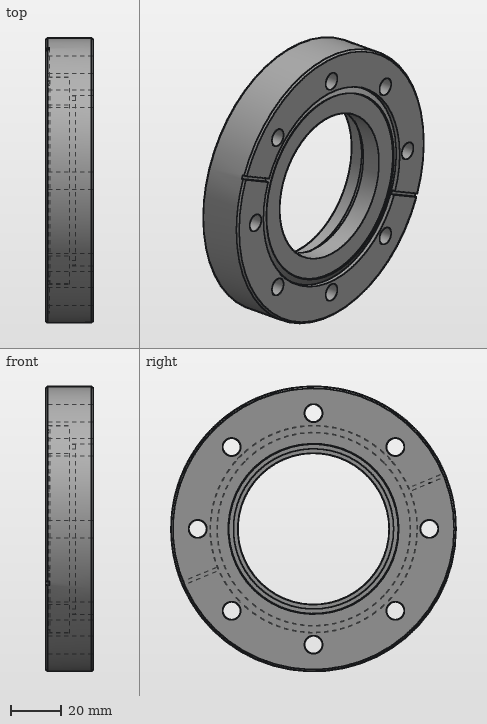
import cadquery as cq


outer_radius = 56.8
thickness = 19.1
edge_chamfer = 0.8
recess_radius = 41.3
back_bore_radius = 34.0

bolt_count = 8
bolt_circle_radius = 46.1
bolt_hole_diameter = 7.0

groove_count = 2
groove_width = 1.5
groove_depth = 1.5
groove_angle = 360.0 / bolt_count / 2

insert_gap = 0.2
insert_radius = recess_radius - insert_gap
neck_radius = back_bore_radius - insert_gap
insert_bore_radius = 30.1
insert_face_x = 1.1
knife_tip_x = 0.7
knife_tip_radius = 38.6
knife_inner_radius = 38.4
knife_root_x = 1.7
shoulder_x = 9.4
socket_radius = 31.9
insert_end_x = 11.9


def revolve_about_x(points):
    """Revolve a closed (x, radius) outline around the X axis."""
    return cq.Workplane("XY").polyline(points).close().revolve(360, (0, 0, 0), (1, 0, 0))


def make_leak_groove(angle):
    """Radial slot cutter running from inside the recess wall past the outer rim."""
    length = outer_radius - insert_radius + edge_chamfer
    return (
        cq.Workplane("XY")
        .box(groove_depth, length, groove_width, centered=(False, False, True))
        .translate((0, insert_radius, 0))
        .rotate((0, 0, 0), (1, 0, 0), angle)
    )


def make_bolt_ring():
    ring = revolve_about_x([
        (0, recess_radius),
        (0, outer_radius - edge_chamfer),
        (edge_chamfer, outer_radius),
        (thickness - edge_chamfer, outer_radius),
        (thickness, outer_radius - edge_chamfer),
        (thickness, back_bore_radius),
        (shoulder_x, back_bore_radius),
        (shoulder_x, recess_radius),
    ])
    bolt_holes = (
        cq.Workplane("YZ")
        .polarArray(bolt_circle_radius, 0, 360, bolt_count)
        .circle(bolt_hole_diameter / 2)
        .extrude(thickness)
    )
    ring = ring.cut(bolt_holes)
    for i in range(groove_count):
        ring = ring.cut(make_leak_groove(groove_angle + i * 360.0 / groove_count))
    return ring


def make_insert():
    return revolve_about_x([
        (insert_face_x, insert_bore_radius),
        (insert_face_x, knife_inner_radius),
        (knife_tip_x, knife_tip_radius),
        (knife_root_x, insert_radius),
        (shoulder_x, insert_radius),
        (shoulder_x, neck_radius),
        (insert_end_x, neck_radius),
        (insert_end_x, socket_radius),
        (shoulder_x, socket_radius),
        (shoulder_x, insert_bore_radius),
    ])


bolt_ring = make_bolt_ring()
insert = make_insert()
result = cq.Compound.makeCompound([bolt_ring.val(), insert.val()])